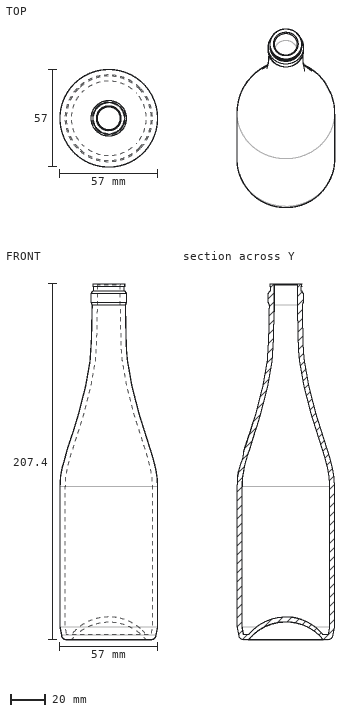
import cadquery as cq
import math

height = 207.4
body_radius = 57.0 / 2
wall = 3.1

heel_top = 7.5
heel_radius = 27.5
heel_corner = 3.0
punt_radius = 21.8
punt_height = 10.4

shoulder_start = 89.2
neck_radius = 9.7
neck_top = 195.0
shoulder_points = [(25.7, 106.2), (21.0, 121.0), (16.4, 136.2), (12.9, 151.2), (11.0, 162.4)]

collar_radius = 10.4
collar_bottom = 196.5
collar_top = 201.8
groove_radius = 9.0
groove_bottom = 203.2
lip_radius = 9.3
lip_height = 1.7
mouth_chamfer = 0.6
bore_radius = neck_radius - wall


def add_shoulder(profile, inset):
    """Sweep from the body wall up to the neck, moved inward by inset."""
    points = [(radius - inset, z) for radius, z in shoulder_points]
    points.append((neck_radius - inset, neck_top))
    neck_slope = (neck_radius - shoulder_points[-1][0], neck_top - shoulder_points[-1][1])
    return profile.spline(points, tangents=[(0, 1), neck_slope], includeCurrent=True)


def make_outside():
    """Solid bottle envelope, with a flat base."""
    corner_middle = heel_corner * (1 - math.sqrt(0.5))
    profile = (
        cq.Workplane("XZ")
        .lineTo(heel_radius - heel_corner, 0)
        .threePointArc((heel_radius - corner_middle, corner_middle), (heel_radius, heel_corner))
        .lineTo(body_radius, heel_top)
        .lineTo(body_radius, shoulder_start)
    )
    return (
        add_shoulder(profile, 0)
        .lineTo(collar_radius, collar_bottom)
        .lineTo(collar_radius, collar_top)
        .lineTo(lip_radius, groove_bottom)
        .lineTo(groove_radius, groove_bottom)
        .lineTo(groove_radius, height - lip_height)
        .lineTo(lip_radius, height - lip_height)
        .lineTo(lip_radius, height)
        .lineTo(0, height)
        .close()
        .revolve(360, (0, 0, 0), (0, 1, 0))
    )


def dome_middle(radius, bottom, top):
    """Point halfway along the arc from the dome's rim to its crown."""
    rise = top - bottom
    sphere_radius = (radius**2 + rise**2) / (2 * rise)
    half_angle = math.asin(radius / sphere_radius) / 2
    return (sphere_radius * math.sin(half_angle), top - sphere_radius * (1 - math.cos(half_angle)))


def make_cavity():
    """Inside of the bottle, with a floor that domes up over the punt."""
    floor_top = punt_height + wall
    inner_radius = body_radius - wall
    profile = (
        cq.Workplane("XZ")
        .moveTo(0, floor_top)
        .threePointArc(dome_middle(punt_radius, wall, floor_top), (punt_radius, wall))
        .lineTo(heel_radius - heel_corner, wall)
        .lineTo(inner_radius, heel_top)
        .lineTo(inner_radius, shoulder_start)
    )
    return (
        add_shoulder(profile, wall)
        .lineTo(bore_radius, height - mouth_chamfer)
        .lineTo(bore_radius + mouth_chamfer, height)
        .lineTo(0, height)
        .close()
        .revolve(360, (0, 0, 0), (0, 1, 0))
    )


def make_punt():
    """Dome-shaped hollow under the base."""
    return (
        cq.Workplane("XZ")
        .lineTo(punt_radius, 0)
        .threePointArc(dome_middle(punt_radius, 0, punt_height), (0, punt_height))
        .close()
        .revolve(360, (0, 0, 0), (0, 1, 0))
    )


result = make_outside().cut(make_cavity()).cut(make_punt())